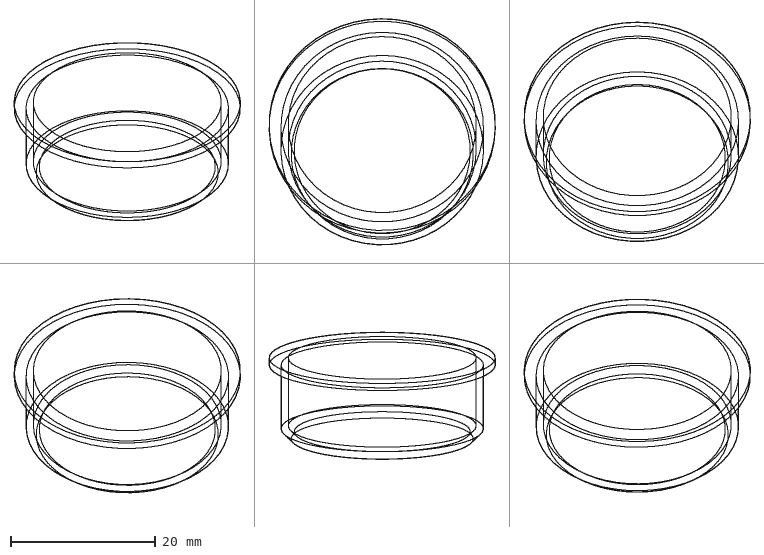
import cadquery as cq
import math

flange_diameter = 31.3
body_diameter = 28.0
total_height = 11.5
flange_thickness = 1.0
wall = 1.0
outer_chamfer = 1.4

cavity_diameter = body_diameter - 2 * wall
cavity_chamfer = outer_chamfer - wall * (2 - math.sqrt(2))


def bevelled_cylinder(diameter, bottom, chamfer):
    """Cylinder from the bottom level up to the rim, with a bevelled lower edge."""
    cylinder = cq.Workplane("XY").workplane(offset=bottom).circle(diameter / 2).extrude(total_height - bottom)
    return cylinder.faces("<Z").edges().chamfer(chamfer)


body = bevelled_cylinder(body_diameter, 0, outer_chamfer)
cavity = bevelled_cylinder(cavity_diameter, wall, cavity_chamfer)

flange = (
    cq.Workplane("XY")
    .workplane(offset=total_height - flange_thickness)
    .circle(flange_diameter / 2)
    .extrude(flange_thickness)
)

result = body.union(flange).cut(cavity)